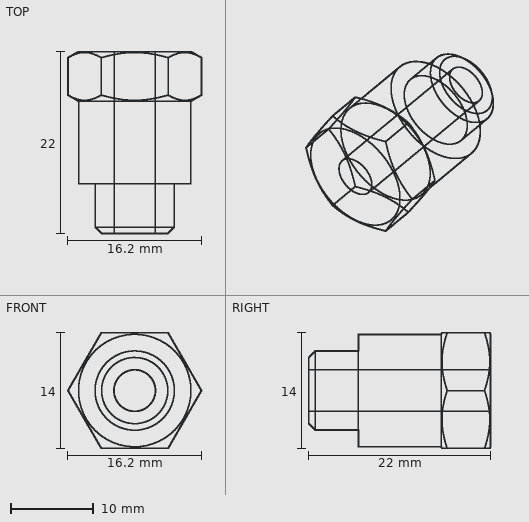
import cadquery as cq
import math

total_length = 22.0
hex_length = 6.0
neck_length = hex_length
hex_across_flats = 14.0
body_diameter = 13.6
neck_diameter = 9.6
neck_chamfer = 0.8
bore_diameter = 5.0
hex_chamfer_angle = 30.0

hex_across_corners = hex_across_flats / math.cos(math.radians(30))
hex_start = total_length - hex_length
body_radius = body_diameter / 2
corner_radius = hex_across_corners / 2
corner_drop = (corner_radius - body_radius) * math.tan(math.radians(hex_chamfer_angle))


def cylinder(diameter, start, length):
    """Cylinder along +Y, beginning at Y = start."""
    plane = cq.Workplane("XZ", origin=(0, start, 0))
    return plane.circle(diameter / 2).extrude(-length)


def hex_head():
    """Hexagon with corners on X, its corners trimmed by a cone at each end."""
    plane = cq.Workplane("XZ", origin=(0, hex_start, 0))
    prism = plane.polygon(6, hex_across_corners).extrude(-hex_length)
    trim_profile = [
        (0, hex_start),
        (body_radius, hex_start),
        (corner_radius, hex_start + corner_drop),
        (corner_radius, total_length - corner_drop),
        (body_radius, total_length),
        (0, total_length),
    ]
    envelope = cq.Workplane("XY").polyline(trim_profile).close().revolve(360, (0, 0), (0, 1))
    return prism.intersect(envelope)


neck = cylinder(neck_diameter, 0, neck_length).faces("<Y").chamfer(neck_chamfer)
body = cylinder(body_diameter, neck_length, hex_start - neck_length)
bore = cylinder(bore_diameter, 0, total_length)

result = hex_head().union(body).union(neck).cut(bore)